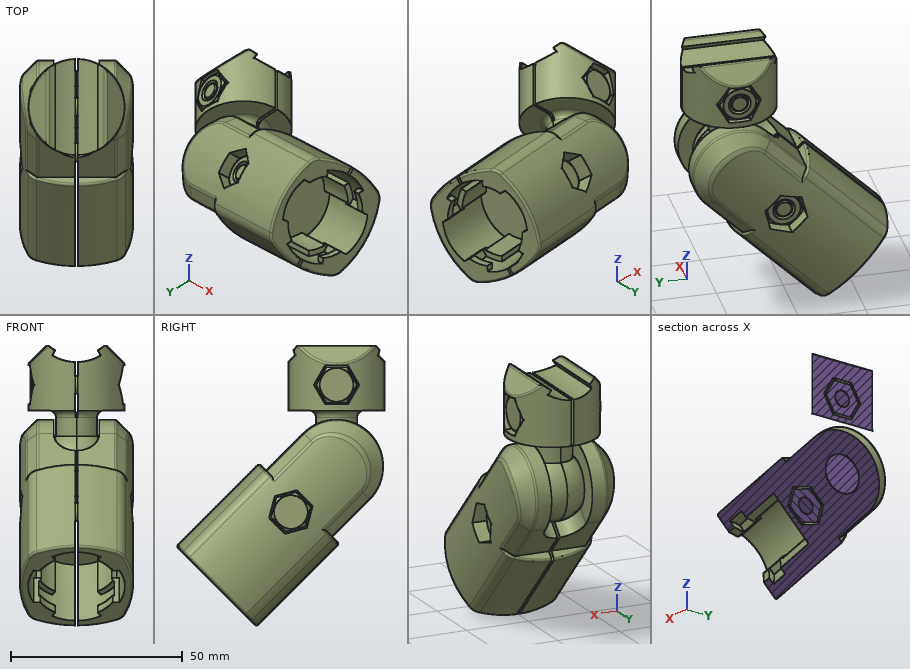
import cadquery as cq
import math


gap = 0.8
bore_radius = 14.1
rib_radius = 12.4
rib_start_angle = 30
rib_end_angle = 56

ball_radius = 10.6
neck_radius = 6.0
stud_top_z = 15.8

clamp_radius = 14.0
clamp_bottom_z = 16.2
clamp_flare = 1.95
clamp_seat_z = 44.5
shoulder_apex_z = 35.5
shoulder_fillet = 0.8
clamp_screw_z = 23.7

arm_tilt = 45
arm_half_width = 33.0 / 2
corner_near = 11.7
corner_far = 14.2
cheek_radius = 13.6
cheek_flat_half_width = 11.4
cheek_front_fillet = 1.0
cheek_side_fillet = 2.3
swing_slot_width = 13.1
swing_slot_end_z = -0.6
arm_screw_z = -18.8

socket_top_z = -15.4
socket_length = 34.1
socket_fillet = 0.65
bore_depth = 23.0
lip_depth = 2.85
groove_end_depth = 8.7
groove_half_width = 11.0
mouth_depth = 10.0
mouth_rib_end_angle = 63
mouth_rib_end_y = 6.5

screw_radius = 5.3 / 2
screw_end_chamfer = 0.4
nut_countersink = 0.65
hex_flats = 10.35
hex_face_radius = 4.9
hex_turn_angle = 30
pocket_flats = 11.4
seat_x = 8.5
nut_height = 5.0
head_height = 4.0

socket_bottom_z = socket_top_z - socket_length
nut_face_x = -seat_x - nut_height
head_face_x = seat_x + head_height

reach = 40.8
overlap = 0.8


def half_space(side, inner_x):
    """Everything beyond inner_x on one side (+1 or -1) of X = 0."""
    return cq.Workplane("XY").box(2 * reach, 4 * reach, 4 * reach).translate((side * (reach + inner_x), 0, 0))


def cylinder_x(radius, x_start, x_end):
    return cq.Workplane("YZ", origin=(x_start, 0, 0)).circle(radius).extrude(x_end - x_start)


def hex_x(flats, x_start, x_end):
    """Hexagonal prism along X with two of its flats square to Z."""
    corner_diameter = 2 * flats / math.sqrt(3)
    return cq.Workplane("YZ", origin=(x_start, 0, 0)).polygon(6, corner_diameter).extrude(x_end - x_start)



def rib(side_x, side_y, end_angle, length):
    """One rib, filling a sector of a quarter of the bore from Z = 0 up; angles run from the Y axis."""
    start = math.radians(rib_start_angle)
    end = math.radians(end_angle)
    inner, outer = [
        [
            (side_x * radius * math.sin(angle), side_y * radius * math.cos(angle))
            for angle in (start, (start + end) / 2, end)
        ]
        for radius in (rib_radius, bore_radius + overlap)
    ]
    return (
        cq.Workplane("XY")
        .moveTo(*inner[0])
        .threePointArc(inner[1], inner[2])
        .lineTo(*outer[2])
        .threePointArc(outer[1], outer[0])
        .close()
        .extrude(length)
    )


def ribbed_bore(end_angle, length):
    """Space taken out for a tube: a bore along Z that leaves four ribs standing."""
    bore = cq.Workplane("XY").circle(bore_radius).extrude(length)
    for side_x in (-1, 1):
        for side_y in (-1, 1):
            bore = bore.cut(rib(side_x, side_y, end_angle, length))
    return bore



def screw_cut():
    """Clearance along X for a screw, with a hex pocket for its nut and one for its head."""
    hole = cylinder_x(screw_radius, -seat_x, seat_x)
    nut_pocket = hex_x(pocket_flats, -reach, -seat_x)
    head_pocket = hex_x(pocket_flats, seat_x, reach)
    return hole.union(nut_pocket).union(head_pocket)


def turned_hex(x_start, x_end, outer_face):
    """Hex prism with its corners turned off on the outer face."""
    corner_radius = hex_flats / math.sqrt(3)
    turned_width = corner_radius - hex_face_radius
    turned_height = turned_width * math.tan(math.radians(hex_turn_angle))
    blank = cylinder_x(corner_radius, x_start, x_end)
    blank = blank.faces(outer_face).chamfer(turned_height, turned_width)
    return hex_x(hex_flats, x_start, x_end).intersect(blank)


def make_nut():
    nut = turned_hex(nut_face_x, -seat_x, "<X")
    nut = nut.cut(cylinder_x(screw_radius, nut_face_x, -seat_x))
    countersink = cq.Solid.makeCone(
        screw_radius + nut_countersink,
        screw_radius,
        nut_countersink,
        cq.Vector(nut_face_x, 0, 0),
        cq.Vector(1, 0, 0),
    )
    return nut.cut(cq.Workplane(countersink))


def make_screw():
    """Screw whose end is flush with the outer face of its nut."""
    shank = cylinder_x(screw_radius, nut_face_x, seat_x)
    shank = shank.faces("<X").chamfer(screw_end_chamfer)
    return shank.union(turned_hex(seat_x, head_face_x, ">X"))



def make_drum():
    """Round clamp drum with a ribbed tube seat on top and rounded 45 degree shoulders."""
    drum = cq.Workplane("XY", origin=(0, 0, clamp_bottom_z)).circle(clamp_radius).extrude(reach)
    apex_x = math.sqrt(rib_radius**2 - (clamp_seat_z - shoulder_apex_z) ** 2)
    ridge_z = shoulder_apex_z + apex_x
    roof = (
        cq.Workplane("XZ")
        .moveTo(0, ridge_z)
        .lineTo(ridge_z, 0)
        .lineTo(-ridge_z, 0)
        .close()
        .extrude(reach, both=True)
    )
    seat = ribbed_bore(rib_end_angle, 2 * reach).translate((0, 0, -reach))
    seat = seat.rotate((0, 0, 0), (1, 0, 0), 90).translate((0, 0, clamp_seat_z))
    drum = drum.intersect(roof).cut(seat)
    for side in (-1, 1):
        outermost = cq.selectors.DirectionMinMaxSelector(cq.Vector(side, 0, 1), True)
        drum = drum.faces(outermost).edges().fillet(shoulder_fillet)
    return drum


def make_flare():
    """Concave fillet that widens the neck into the underside of the drum."""
    bottom_z = clamp_bottom_z - clamp_flare
    return (
        cq.Workplane("XZ")
        .moveTo(0, bottom_z)
        .lineTo(neck_radius, bottom_z)
        .radiusArc((neck_radius + clamp_flare, clamp_bottom_z), clamp_flare)
        .lineTo(0, clamp_bottom_z)
        .close()
        .revolve(360, (0, 0, 0), (0, 1, 0))
    )


def make_clamp_half(side):
    """One clamp half; the gap stops at the stud, whose halves meet at X = 0."""
    clamp = make_drum().union(make_flare()).cut(screw_cut().translate((0, 0, clamp_screw_z)))
    neck = cq.Workplane("XY").circle(neck_radius).extrude(stud_top_z)
    stud = neck.union(cq.Workplane("XY").sphere(ball_radius))
    return clamp.intersect(half_space(side, gap / 2)).union(stud.intersect(half_space(side, 0)))



def arm_section():
    """Rounded square of four shallow arcs joined by tangent corner arcs."""
    near, far, wide = corner_near, corner_far, arm_half_width
    rise = wide - far
    side_radius = (near**2 + rise**2) / (2 * rise)
    lean = math.asin(near / side_radius)
    corner_radius = (far - near) / (math.cos(lean) - math.sin(lean))
    corner_mid = near - corner_radius * math.sin(lean) + corner_radius / math.sqrt(2)
    return (
        cq.Workplane("XY")
        .moveTo(-near, far)
        .threePointArc((0, wide), (near, far))
        .threePointArc((corner_mid, corner_mid), (far, near))
        .threePointArc((wide, 0), (far, -near))
        .threePointArc((corner_mid, -corner_mid), (near, -far))
        .threePointArc((0, -wide), (-near, -far))
        .threePointArc((-corner_mid, -corner_mid), (-far, -near))
        .threePointArc((-wide, 0), (-far, near))
        .threePointArc((-corner_mid, corner_mid), (-near, far))
        .close()
    )


def make_cheeks():
    """Round-ended upper part of the arm, with rounded 45 degree bevels along its outline."""
    half_length = arm_half_width + overlap
    bottom_z = socket_top_z - overlap
    cheeks = (
        cq.Workplane("YZ", origin=(-half_length, 0, 0))
        .moveTo(-cheek_radius, bottom_z)
        .lineTo(-cheek_radius, 0)
        .threePointArc((0, cheek_radius), (cheek_radius, 0))
        .lineTo(cheek_radius, bottom_z)
        .close()
        .extrude(2 * half_length)
    )
    cheeks = cheeks.faces("<X or >X").edges("not <Z").chamfer(half_length - cheek_flat_half_width)
    tolerance = 0.1
    for bevel_x in (-cheek_flat_half_width, cheek_flat_half_width):
        bevel_start = cq.selectors.BoxSelector(
            (bevel_x - tolerance, -reach, -reach), (bevel_x + tolerance, reach, reach)
        )
        cheeks = cheeks.edges(bevel_start).fillet(cheek_front_fillet)
    cheeks = cheeks.intersect(arm_section().extrude(reach).translate((0, 0, bottom_z)))
    for side_face in ("<X", ">X"):
        cheeks = cheeks.faces(side_face).edges("not <Z").fillet(cheek_side_fillet)
    return cheeks


def make_socket():
    socket = arm_section().extrude(socket_length).translate((0, 0, socket_bottom_z))
    return socket.faces("<Z or >Z").edges().fillet(socket_fillet)


def socket_cut():
    """Ribbed bore with longer, flat-ended ribs at the mouth and a groove behind the lip."""
    mouth = ribbed_bore(mouth_rib_end_angle, mouth_depth)
    side_relief = cq.Workplane("XY").circle(bore_radius).extrude(mouth_depth)
    side_relief = side_relief.intersect(cq.Workplane("XY").box(2 * reach, 2 * mouth_rib_end_y, 2 * reach))
    deep = ribbed_bore(rib_end_angle, bore_depth - mouth_depth).translate((0, 0, mouth_depth))
    groove = cq.Workplane("XY").circle(bore_radius).extrude(groove_end_depth - lip_depth)
    groove = groove.intersect(cq.Workplane("XY").box(2 * groove_half_width, 2 * reach, 2 * reach))
    groove = groove.translate((0, 0, lip_depth))
    return mouth.union(side_relief).union(deep).union(groove).translate((0, 0, socket_bottom_z))


def swing_slot():
    """Slot across the arm that lets the neck swing; its lower end is round."""
    round_end = cq.Workplane("XZ").circle(swing_slot_width / 2).extrude(reach, both=True)
    straight = cq.Workplane("XY").rect(swing_slot_width, 2 * reach).extrude(reach)
    return round_end.union(straight).translate((0, 0, swing_slot_end_z))


def tilt(body):
    return body.rotate((0, 0, 0), (1, 0, 0), -arm_tilt)


def make_arm_half(side):
    arm = make_cheeks().union(make_socket()).cut(socket_cut()).cut(swing_slot())
    arm = arm.cut(cq.Workplane("XY").sphere(ball_radius))
    arm = arm.cut(screw_cut().translate((0, 0, arm_screw_z)))
    return tilt(arm.intersect(half_space(side, gap / 2)))



clamp_halves = [make_clamp_half(side) for side in (-1, 1)]
arm_halves = [make_arm_half(side) for side in (-1, 1)]
fasteners = []
for make_part in (make_screw, make_nut):
    fasteners.append(make_part().translate((0, 0, clamp_screw_z)))
    fasteners.append(tilt(make_part().translate((0, 0, arm_screw_z))))

result = cq.Compound.makeCompound([body.val() for body in clamp_halves + arm_halves + fasteners])